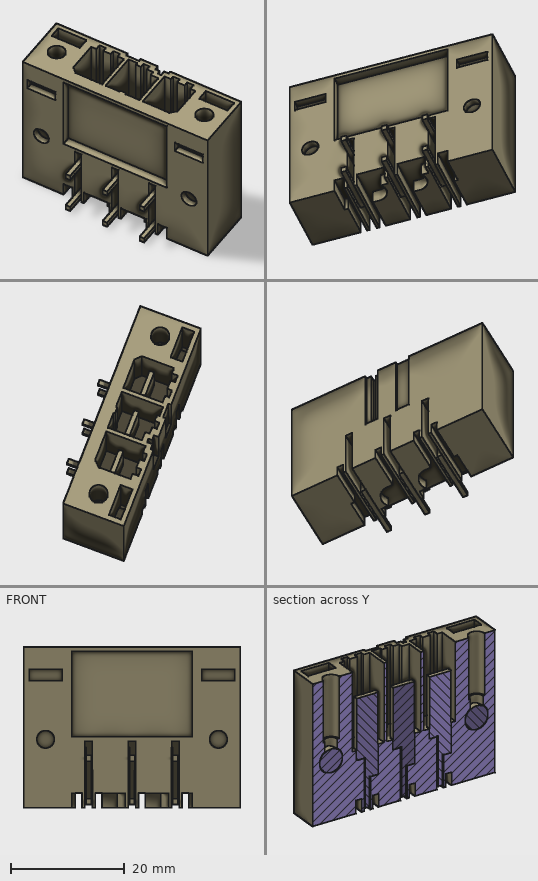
import cadquery as cq
import math


WIDTH = 38.1
DEPTH = 11.43
HEIGHT = 28.3
PITCH = 7.62
POLES = [-PITCH, 0.0, PITCH]

CAVITY_FLOOR = 12.57
CAVITY_FRONT = 2.48
KEY_TOP = 10.63
KEY_RIB = 9.75
OUTER_NEAR = 4.2
OUTER_FAR = 10.7
OUTER_STEP_FAR = 9.52
OUTER_STEP_NEAR = 9.85
OUTER_CHAMFER = 1.03
OUTER_KEY_EDGES = (5.5, 6.82, 8.4, 9.68)
MIDDLE_HALF_WIDTH = 3.45
MIDDLE_STEP_LEFT = 10.25
MIDDLE_STEP_RIGHT = 8.9
MIDDLE_LEFT_EDGE = -1.7
MIDDLE_RIGHT_EDGE = 1.85
MIDDLE_KEY_HALF = 0.6
BUMP_BASE_HALF = 0.7
BUMP_TOP_HALF = 0.45
BUMP_HEIGHT = 0.25

GROOVE_FLOOR = CAVITY_FLOOR
GROOVE_NEAR = 1.7
GROOVE_FAR = 4.4
GROOVE_DEPTH = 0.55
HOOK_NEAR = 1.85
HOOK_MIDDLE = 2.8
HOOK_FAR = 3.45
HOOK_DEPTH = 0.88
HOOK_TIP_DEPTH = 1.55

LABEL_HALF_WIDTH = 10.63
LABEL_BOTTOM = 12.45
LABEL_TOP = 27.5
LABEL_DEPTH = 1.68

MOUNT_X = 15.2
INSERT_DIAMETER = 4.65
INSERT_Z = 12.05
INSERT_START = 1.35
FRONT_HOLE_DIAMETER = 3.1
POCKET_WIDTH = 5.8
POCKET_FLOOR = 12.25
POCKET_FRONT = 8.25
POCKET_BACK = 10.5
WINDOW_BOTTOM = 22.33
WINDOW_TOP = 24.35
WINDOW_DEPTH = 1.35
SCREW_Y = 5.22
SCREW_HEAD_DIAMETER = 3.25
SCREW_HEAD_FLOOR = 16.0
SCREW_DIAMETER = 2.6

SLOT_WIDTH = 1.3
SLOT_TOP = 11.7
LEG_OUTER = 1.2
CHANNEL_OUTER = 2.32
RELIEF_HEIGHT = 2.6
RIB_DEPTH = 1.55
RIB_EDGE = 5.05
BORE_X = 3.5
BORE_RADIUS = 2.1
BORE_Y = RIB_DEPTH + math.sqrt(BORE_RADIUS**2 - (RIB_EDGE - BORE_X) ** 2)
RELIEF_DEPTH = BORE_Y + BORE_RADIUS

BLADE_WIDTH = 4.55
BLADE_TOP = 22.85
CONTACT_FRONT = 5.25
CONTACT_THICKNESS = 0.88
STEM_FRONT = 4.4
LEFT_SHOULDER = 10.6
RIGHT_SHOULDER = 6.6
TAIL_WIDTH = 0.9
TAIL_HEIGHT = 1.03
TAIL_BOTTOM = 0.57
TAIL_SPACING = 7.62
TAIL_REACH = 3.45


def box(x_range, y_range, z_range):
    """A block between the given pairs of limits."""
    (x0, x1), (y0, y1), (z0, z1) = x_range, y_range, z_range
    return cq.Workplane("XY").box(x1 - x0, y1 - y0, z1 - z0, centered=False).translate((x0, y0, z0))


def upright_cut(points, floor):
    """A prism over an XY outline, from `floor` up to the housing top."""
    return cq.Workplane("XY", origin=(0, 0, floor)).polyline(points).close().extrude(HEIGHT - floor)


def y_cylinder(x, diameter, start, end):
    """A cylinder along Y at the height of the mounting inserts."""
    plane = cq.Plane(origin=(x, start, INSERT_Z), xDir=(1, 0, 0), normal=(0, 1, 0))
    return cq.Workplane(plane).circle(diameter / 2).extrude(end - start)


def mirrored(points):
    """The outline reflected across the YZ plane."""
    return [(-x, y) for x, y in points]


def outer_cavity_outline():
    key_a, key_b, key_c, key_d = OUTER_KEY_EDGES
    return [
        (OUTER_NEAR, CAVITY_FRONT),
        (OUTER_FAR - OUTER_CHAMFER, CAVITY_FRONT),
        (OUTER_FAR, CAVITY_FRONT + OUTER_CHAMFER),
        (OUTER_FAR, OUTER_STEP_FAR),
        (key_d, OUTER_STEP_FAR),
        (key_d, KEY_TOP),
        (key_c, KEY_TOP),
        (key_c, KEY_RIB),
        (key_b, KEY_RIB),
        (key_b, KEY_TOP),
        (key_a, KEY_TOP),
        (key_a, OUTER_STEP_NEAR),
        (OUTER_NEAR, OUTER_STEP_NEAR),
    ]


def middle_cavity_outline():
    return [
        (-MIDDLE_HALF_WIDTH, CAVITY_FRONT),
        (-BUMP_BASE_HALF, CAVITY_FRONT),
        (-BUMP_TOP_HALF, CAVITY_FRONT + BUMP_HEIGHT),
        (BUMP_TOP_HALF, CAVITY_FRONT + BUMP_HEIGHT),
        (BUMP_BASE_HALF, CAVITY_FRONT),
        (MIDDLE_HALF_WIDTH, CAVITY_FRONT),
        (MIDDLE_HALF_WIDTH, MIDDLE_STEP_RIGHT),
        (MIDDLE_RIGHT_EDGE, MIDDLE_STEP_RIGHT),
        (MIDDLE_RIGHT_EDGE, KEY_RIB),
        (MIDDLE_KEY_HALF, KEY_RIB),
        (MIDDLE_KEY_HALF, KEY_TOP),
        (-MIDDLE_KEY_HALF, KEY_TOP),
        (-MIDDLE_KEY_HALF, KEY_RIB),
        (MIDDLE_LEFT_EDGE, KEY_RIB),
        (MIDDLE_LEFT_EDGE, MIDDLE_STEP_LEFT),
        (-MIDDLE_HALF_WIDTH, MIDDLE_STEP_LEFT),
    ]


def hooked_groove_outline():
    return [
        (HOOK_NEAR, DEPTH),
        (HOOK_NEAR, DEPTH - HOOK_DEPTH),
        (HOOK_MIDDLE, DEPTH - HOOK_DEPTH),
        (HOOK_MIDDLE, DEPTH - HOOK_TIP_DEPTH),
        (HOOK_FAR, DEPTH - HOOK_TIP_DEPTH),
        (HOOK_FAR, DEPTH - GROOVE_DEPTH),
        (GROOVE_FAR, DEPTH - GROOVE_DEPTH),
        (GROOVE_FAR, DEPTH),
    ]


def cut_sockets(body):
    """Three keyed cavities and the two coding grooves behind them."""
    outer = outer_cavity_outline()
    for outline in (outer, mirrored(outer), middle_cavity_outline()):
        body = body.cut(upright_cut(outline, CAVITY_FLOOR))
    body = body.cut(upright_cut(hooked_groove_outline(), GROOVE_FLOOR))
    plain_groove = box((-GROOVE_FAR, -GROOVE_NEAR), (DEPTH - GROOVE_DEPTH, DEPTH), (GROOVE_FLOOR, HEIGHT))
    return body.cut(plain_groove)


def cut_label_recess(body):
    recess = box((-LABEL_HALF_WIDTH, LABEL_HALF_WIDTH), (0, LABEL_DEPTH), (LABEL_BOTTOM, LABEL_TOP))
    return body.cut(recess)


def cut_mounting_end(body, x):
    """Insert bore with its front hole, top pocket, front window and stepped screw hole."""
    sides = (x - POCKET_WIDTH / 2, x + POCKET_WIDTH / 2)
    body = body.cut(y_cylinder(x, FRONT_HOLE_DIAMETER, 0, INSERT_START))
    body = body.cut(y_cylinder(x, INSERT_DIAMETER, INSERT_START, POCKET_BACK))
    body = body.cut(box(sides, (POCKET_FRONT, POCKET_BACK), (POCKET_FLOOR, HEIGHT)))
    body = body.cut(box(sides, (0, WINDOW_DEPTH), (WINDOW_BOTTOM, WINDOW_TOP)))
    for diameter, floor in ((SCREW_HEAD_DIAMETER, SCREW_HEAD_FLOOR), (SCREW_DIAMETER, INSERT_Z)):
        plane = cq.Workplane("XY", origin=(x, SCREW_Y, floor))
        body = body.cut(plane.circle(diameter / 2).extrude(HEIGHT - floor))
    return body


def cut_contact_slots(body):
    """A slot from front to back around each contact's solder tails."""
    for x in POLES:
        body = body.cut(box((x - SLOT_WIDTH / 2, x + SLOT_WIDTH / 2), (0, DEPTH), (0, SLOT_TOP)))
    return body


def relief_between_poles(x):
    """The relief from the pole at `x` to the next one, part of its wall a round bore."""
    return (
        cq.Workplane("XY")
        .moveTo(x + LEG_OUTER, 0)
        .lineTo(x + LEG_OUTER, DEPTH)
        .lineTo(x + CHANNEL_OUTER, DEPTH)
        .lineTo(x + CHANNEL_OUTER, RELIEF_DEPTH)
        .lineTo(x + BORE_X, RELIEF_DEPTH)
        .threePointArc((x + BORE_X + BORE_RADIUS, BORE_Y), (x + RIB_EDGE, RIB_DEPTH))
        .lineTo(x + PITCH - LEG_OUTER, RIB_DEPTH)
        .lineTo(x + PITCH - LEG_OUTER, 0)
        .close()
        .extrude(RELIEF_HEIGHT)
    )


def cut_bottom_relief(body):
    """Notches along the front of the bottom edge, each with a channel through to the back."""
    for x in POLES[:-1]:
        body = body.cut(relief_between_poles(x))
    height = (0, RELIEF_HEIGHT)
    channel_start = PITCH + LEG_OUTER
    channel_end = PITCH + CHANNEL_OUTER
    for side in (-1, 1):
        channel = sorted((side * channel_start, side * channel_end))
        notch = sorted((side * channel_start, side * LABEL_HALF_WIDTH))
        body = body.cut(box(channel, (0, DEPTH), height))
        body = body.cut(box(notch, (0, RELIEF_DEPTH), height))
    return body


def make_contact(x):
    """Upright blade, stepped down to a narrow, thicker stem that carries two solder tails."""
    half_blade = BLADE_WIDTH / 2
    half_tail = TAIL_WIDTH / 2
    contact_back = CONTACT_FRONT + CONTACT_THICKNESS
    outline = [
        (-half_blade, BLADE_TOP),
        (-half_blade, LEFT_SHOULDER),
        (-half_tail, LEFT_SHOULDER),
        (-half_tail, TAIL_BOTTOM),
        (half_tail, TAIL_BOTTOM),
        (half_tail, RIGHT_SHOULDER),
        (half_blade, RIGHT_SHOULDER),
        (half_blade, BLADE_TOP),
    ]
    plate = cq.Workplane("XZ", origin=(x, contact_back, 0)).polyline(outline).close()
    contact = plate.extrude(CONTACT_THICKNESS)
    stem_top = TAIL_BOTTOM + TAIL_SPACING + TAIL_HEIGHT
    stem = box(
        (x - half_tail, x + half_tail),
        (STEM_FRONT, contact_back),
        (TAIL_BOTTOM, stem_top),
    )
    contact = contact.union(stem)
    for bottom in (TAIL_BOTTOM, TAIL_BOTTOM + TAIL_SPACING):
        tail = box(
            (x - half_tail, x + half_tail),
            (-TAIL_REACH, contact_back),
            (bottom, bottom + TAIL_HEIGHT),
        )
        contact = contact.union(tail)
    return contact


def make_insert(x):
    """Round mounting insert lying along Y."""
    return y_cylinder(x, INSERT_DIAMETER, INSERT_START, POCKET_BACK)


def make_housing(contacts):
    body = box((-WIDTH / 2, WIDTH / 2), (0, DEPTH), (0, HEIGHT))
    body = cut_sockets(body)
    body = cut_label_recess(body)
    for x in (-MOUNT_X, MOUNT_X):
        body = cut_mounting_end(body, x)
    body = cut_contact_slots(body)
    body = cut_bottom_relief(body)
    for contact in contacts:
        body = body.cut(contact)
    return body


contacts = [make_contact(x) for x in POLES]
inserts = [make_insert(x) for x in (-MOUNT_X, MOUNT_X)]
housing = make_housing(contacts)

result = cq.Compound.makeCompound(
    [
        housing.val(),
        *[contact.val() for contact in contacts],
        *[insert.val() for insert in inserts],
    ]
)